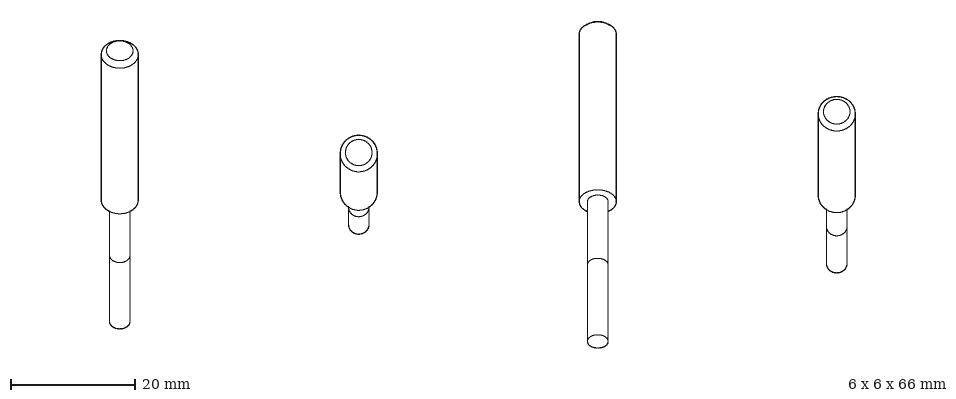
import cadquery as cq

total_length = 66.0
shank_diameter = 6.0
shank_length = 36.05
shank_chamfer = 0.85
neck_diameter = 3.35
neck_length = 13.25
cutter_diameter = neck_diameter
tip_height = 0.65

shank_bottom = total_length - shank_length
joint_height = shank_bottom - neck_length


def make_holder():
    """Chamfered shank with a slimmer neck below it."""
    shank = (
        cq.Workplane("XY", origin=(0, 0, shank_bottom))
        .circle(shank_diameter / 2)
        .extrude(shank_length)
        .faces(">Z")
        .chamfer(shank_chamfer)
    )
    neck = (
        cq.Workplane("XY", origin=(0, 0, joint_height))
        .circle(neck_diameter / 2)
        .extrude(neck_length)
    )
    return shank.union(neck)


def make_cutter():
    """Round cutting end with a conical point, butted against the neck."""
    radius = cutter_diameter / 2
    return (
        cq.Workplane("XZ")
        .moveTo(0, 0)
        .lineTo(radius, tip_height)
        .lineTo(radius, joint_height)
        .lineTo(0, joint_height)
        .close()
        .revolve(360, (0, 0, 0), (0, 1, 0))
    )


holder = make_holder()
cutter = make_cutter()

result = cq.Compound.makeCompound([holder.val(), cutter.val()])